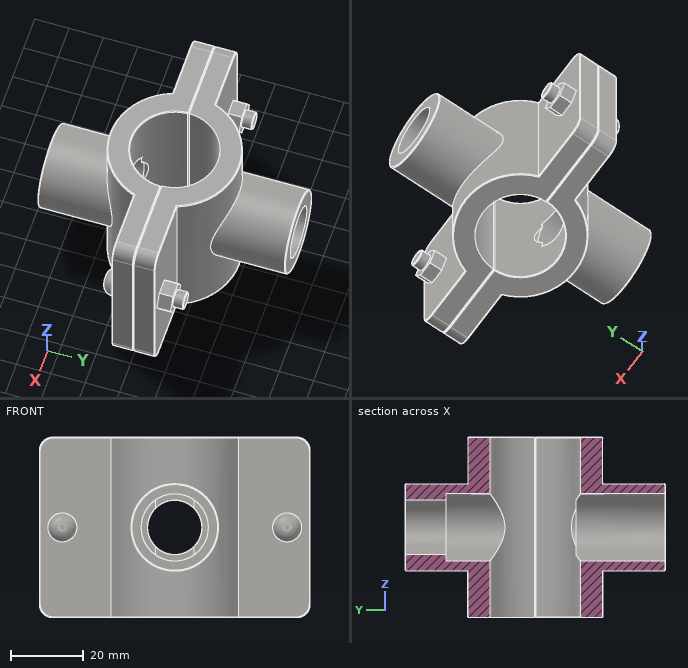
import cadquery as cq
import math

CLAMP_LENGTH = 75.0
CLAMP_HEIGHT = 50.0
FLANGE_THICKNESS = 12.5
FLANGE_CORNER_RADIUS = 3.75
BARREL_DIAMETER = 37.5
BARREL_BORE_DIAMETER = 25.05
EDGE_CHAMFER = 0.25

BRANCH_SPAN = 72.0
BRANCH_DIAMETER = 24.2
SOCKET_DIAMETER = 18.6
SOCKET_DEPTH = 24.7
PORT_DIAMETER = 15.0

BOLT_SPACING = 62.25
SHANK_DIAMETER = 5.0
SHANK_STICKOUT = 3.0
HEAD_DIAMETER = 8.0
HEAD_HEIGHT = 4.0
HEAD_ROUNDING = 3.0
NUT_SIDES = 6
NUT_WIDTH = 8.0
NUT_HEIGHT = 4.0

HALF_HEIGHT = CLAMP_HEIGHT / 2
HALF_FLANGE = FLANGE_THICKNESS / 2
HALF_SPAN = BRANCH_SPAN / 2
BOLT_POSITIONS = (-BOLT_SPACING / 2, BOLT_SPACING / 2)


def rod_along_y(diameter, start, end):
    """Round rod on the Y axis from y = start to y = end."""
    base = cq.Workplane("XZ", origin=(0, start, 0))
    return base.circle(diameter / 2).extrude(start - end)


def rod_along_z(diameter):
    """Round rod on the Z axis, as tall as the clamp."""
    return cq.Workplane("XY").circle(diameter / 2).extrude(HALF_HEIGHT, both=True)


def make_flange_half(side):
    """Rounded plate on one side of the parting plane; side is -1 for -Y or 1 for +Y."""
    plate = cq.Workplane("XY").box(CLAMP_LENGTH, HALF_FLANGE, CLAMP_HEIGHT)
    plate = plate.translate((0, side * HALF_FLANGE / 2, 0))
    plate = plate.edges("|Y").fillet(FLANGE_CORNER_RADIUS)
    outer_face = ">Y" if side > 0 else "<Y"
    return plate.faces(outer_face).edges().chamfer(EDGE_CHAMFER)


def make_clamp_half(side):
    """Half barrel with its flange plate; the edges of its parting faces are chamfered."""
    barrel = rod_along_z(BARREL_DIAMETER).edges().chamfer(EDGE_CHAMFER)
    half_space = cq.Workplane("XY").box(CLAMP_LENGTH, BARREL_DIAMETER, CLAMP_HEIGHT)
    half_space = half_space.translate((0, side * BARREL_DIAMETER / 2, 0))
    half = barrel.intersect(half_space).union(make_flange_half(side))
    half = half.cut(rod_along_z(BARREL_BORE_DIAMETER))

    parting_face = "<Y" if side > 0 else ">Y"
    edges = half.faces(parting_face).edges()
    if side < 0:
        reach = BARREL_BORE_DIAMETER / 2 + EDGE_CHAMFER
        rim_box = cq.selectors.BoxSelector(
            (-reach, -reach, -CLAMP_HEIGHT), (reach, EDGE_CHAMFER, CLAMP_HEIGHT), boundingbox=True
        )
        edges = edges.add(half.edges(rim_box).edges("%CIRCLE"))
    return edges.chamfer(EDGE_CHAMFER)


def make_clamp():
    clamp = make_clamp_half(-1).union(make_clamp_half(1))

    branches = rod_along_y(BRANCH_DIAMETER, -HALF_SPAN, HALF_SPAN).edges().chamfer(EDGE_CHAMFER)
    clamp = clamp.union(branches.cut(rod_along_z(BARREL_BORE_DIAMETER)))

    for socket_start in (-HALF_SPAN, 0):
        clamp = clamp.cut(rod_along_y(SOCKET_DIAMETER, socket_start, socket_start + SOCKET_DEPTH))
    clamp = clamp.cut(rod_along_y(PORT_DIAMETER, -HALF_SPAN, HALF_SPAN))

    bolt_hole = rod_along_y(SHANK_DIAMETER, -HALF_FLANGE, HALF_FLANGE)
    for x in BOLT_POSITIONS:
        clamp = clamp.cut(bolt_hole.translate((x, 0, 0)))
    return clamp


def make_bolt(x):
    """Bolt and its nut as one solid, with its axis at the given x."""
    nut_end = HALF_FLANGE + NUT_HEIGHT
    shank = rod_along_y(SHANK_DIAMETER, -HALF_FLANGE, nut_end + SHANK_STICKOUT)
    shank = shank.faces(">Y").chamfer(EDGE_CHAMFER)

    head = rod_along_y(HEAD_DIAMETER, -HALF_FLANGE - HEAD_HEIGHT, -HALF_FLANGE)
    head = head.faces("<Y").edges().fillet(HEAD_ROUNDING)

    nut_corner_diameter = NUT_WIDTH / math.cos(math.pi / NUT_SIDES)
    nut_base = cq.Workplane("XZ", origin=(0, HALF_FLANGE, 0))
    nut = nut_base.polygon(NUT_SIDES, nut_corner_diameter).extrude(-NUT_HEIGHT)
    return shank.union(head).union(nut).translate((x, 0, 0))


clamp = make_clamp()
bolts = [make_bolt(x) for x in BOLT_POSITIONS]

bodies = [clamp, *bolts]
result = cq.Compound.makeCompound([body.solids().val() for body in bodies])